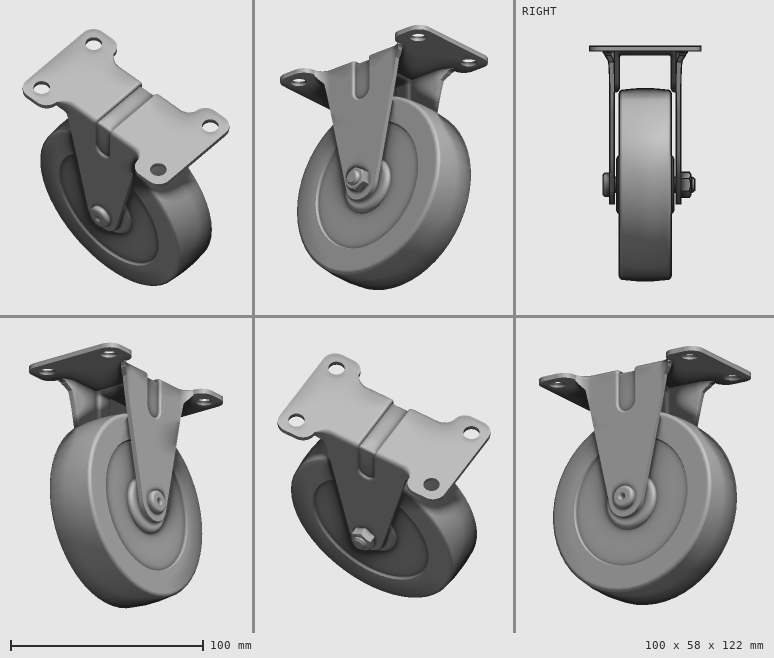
import cadquery as cq
import math



def tangent_arc_radius(along, across):
    """Radius of an arc that leaves tangent to one axis and ends offset by the given steps."""
    return (along**2 + across**2) / (2 * across)


wheel_radius = 50.0
crown_drop = 0.9
tread_half_width = 12.0
wheel_half_width = 13.5
rim_face_radius = 46.8
rim_corner_bulge = 0.5
recess_radius = 35.3
recess_depth = 1.3
recess_slope = 0.7
hub_radius = 15.4
hub_half_width = 14.9
hub_round = 2.7

overall_height = 122.0
bracket_top = overall_height - wheel_radius
sheet = 2.6
plate_length = 100.0
plate_width = 58.0
ear_inner_x = 28.8
ear_corner_radius = 7.0
ear_corner_y = plate_width / 2 - ear_corner_radius
hole_diameter = 8.5
hole_spacing_x = 82.0
hole_spacing_y = 40.0
leg_outer_y = 18.5
leg_inner_y = leg_outer_y - sheet
bend_half_length = 21.6
flare_length = ear_inner_x - bend_half_length
flare_radius = tangent_arc_radius(flare_length, ear_corner_y - leg_outer_y)
flare_axis_y = leg_outer_y + flare_radius
flare_sweep = math.asin(flare_length / flare_radius)
bend_sections = 5
bend_end_fraction = 0.98
bend_cut_margin = 0.2
leg_tip_radius = 10.0
shoulder_x = 24.5
shoulder_drop = 8.3
shoulder_knee_x = 27.7
shoulder_knee_drop = 4.9
shoulder_foot_x = 30.7

groove_half_width = 4.9
groove_drop = 18.8
groove_top_depth = 2.1
groove_leg_depth = 1.6
groove_edge_round = 1.5
groove_bend_radius = 1.2
rib_half_width = 5.1
rib_top_height = 2.1
rib_leg_height = 2.6
rib_edge_round = 2.5

axle_radius = 4.0
head_radius = 6.2
head_end_y = 22.0
head_round = 1.8
dimple_radius = 2.1
nut_across_corners = 13.0
nut_end_y = 23.7
nut_chamfer_radius = 5.4
nut_chamfer_height = 0.7
bolt_tip_y = 25.7
bolt_tip_radius = 2.9
bolt_tip_chamfer = 1.3


def cylinder_y(radius, start_y, end_y):
    """A cylinder on the axle axis."""
    return cq.Workplane("XZ", origin=(0, start_y, 0)).circle(radius).extrude(start_y - end_y)


def mirrored_four(solid):
    """The solid with its mirror images across X and Y."""
    pair = solid.union(solid.mirror("YZ"))
    return pair.union(pair.mirror("XZ"))


def make_wheel():
    edge_radius = wheel_radius - crown_drop
    rim = (
        cq.Workplane("XY")
        .moveTo(0, -wheel_half_width)
        .lineTo(rim_face_radius, -wheel_half_width)
        .sagittaArc((edge_radius, -tread_half_width), -rim_corner_bulge)
        .threePointArc((wheel_radius, 0), (edge_radius, tread_half_width))
        .sagittaArc((rim_face_radius, wheel_half_width), -rim_corner_bulge)
        .lineTo(0, wheel_half_width)
        .close()
        .revolve(360, (0, 0, 0), (0, 1, 0))
    )
    recess_floor_y = wheel_half_width - recess_depth
    recess = (
        cq.Workplane("XY")
        .moveTo(0, recess_floor_y)
        .lineTo(recess_radius - recess_slope, recess_floor_y)
        .lineTo(recess_radius, wheel_half_width)
        .lineTo(0, wheel_half_width)
        .close()
        .revolve(360, (0, 0, 0), (0, 1, 0))
    )
    hub = cylinder_y(hub_radius, -hub_half_width, hub_half_width)
    hub = hub.faces("<Y or >Y").edges().fillet(hub_round)
    bore = cylinder_y(axle_radius, -hub_half_width, hub_half_width)
    return rim.cut(recess).cut(recess.mirror("XZ")).union(hub).cut(bore)


def slot_prism(half_width, start_y, end_y):
    """A prism along Y, open at the bracket top and rounded at its lower end."""
    end_z = bracket_top - groove_drop
    return (
        cq.Workplane("XZ", origin=(0, end_y, 0))
        .moveTo(-half_width, bracket_top)
        .lineTo(-half_width, end_z)
        .threePointArc((0, end_z - half_width), (half_width, end_z))
        .lineTo(half_width, bracket_top)
        .close()
        .extrude(end_y - start_y)
    )


def box_below(half_x, half_y, top_z):
    """A block centred on the bracket, from the given height down to the leg tips."""
    height = top_z + leg_tip_radius
    return cq.Workplane("XY", origin=(0, 0, top_z - height / 2)).box(2 * half_x, 2 * half_y, height)


def rounded_bar(half_x, half_y, top_z, bend_radius):
    """The same block with its upper edges along X rounded."""
    return box_below(half_x, half_y, top_z).edges("|X and >Z").fillet(bend_radius)


def groove_floor_bar():
    """A bar whose top and sides are the floor of the groove."""
    return rounded_bar(
        bend_half_length,
        leg_outer_y - groove_leg_depth,
        bracket_top - groove_top_depth,
        groove_bend_radius,
    )


def make_channel():
    """The straight bent part: top web and both legs, with the pressed groove."""
    outside = rounded_bar(bend_half_length, leg_outer_y, bracket_top, sheet)
    groove = slot_prism(groove_half_width, -leg_outer_y, leg_outer_y).cut(groove_floor_bar())
    rim_point = (groove_half_width, 0, bracket_top)
    pressed = (
        outside.cut(groove)
        .edges(cq.selectors.NearestToPointSelector(rim_point))
        .fillet(groove_edge_round)
    )
    inside = box_below(bend_half_length, leg_inner_y, bracket_top - sheet)
    return pressed.cut(inside)


def make_rib():
    """The bulge that the groove leaves on the inside of the web and legs."""
    cavity_top = bracket_top - sheet - rib_top_height
    cavity_half_y = leg_inner_y - rib_leg_height
    rib = slot_prism(rib_half_width, -leg_outer_y, leg_outer_y).intersect(groove_floor_bar())
    rib = rib.cut(rounded_bar(rib_half_width, cavity_half_y, cavity_top, groove_bend_radius))
    rim_point = (rib_half_width, 0, cavity_top)
    return rib.edges(cq.selectors.NearestToPointSelector(rim_point)).fillet(rib_edge_round)


def make_flare():
    """The curved wall that carries the +X, +Y leg round to the ear."""
    foot_z = -leg_tip_radius
    return (
        cq.Workplane("YZ", origin=(bend_half_length, 0, 0))
        .moveTo(leg_inner_y, foot_z)
        .lineTo(leg_outer_y, foot_z)
        .lineTo(leg_outer_y, bracket_top)
        .lineTo(leg_inner_y, bracket_top)
        .close()
        .revolve(math.degrees(flare_sweep), (flare_axis_y, 0, 0), (flare_axis_y, 1, 0))
    )


def make_flare_bend_cut():
    """What the bend takes off the flare's upper edge, its radius shrinking to nothing at the ear."""
    plate_edge_radius = tangent_arc_radius(flare_length, ear_corner_y - leg_inner_y)
    centre_gap = flare_axis_y - (leg_inner_y + plate_edge_radius)
    cut = cq.Workplane("XY")
    for step in range(bend_sections):
        angle = flare_sweep * bend_end_fraction * step / (bend_sections - 1)
        across = centre_gap * math.sin(angle)
        to_plate_edge = centre_gap * math.cos(angle) + math.sqrt(plate_edge_radius**2 - across**2)
        bend = to_plate_edge - flare_radius
        diagonal = bend * (1 - math.sqrt(0.5))
        inward = cq.Vector(math.sin(angle), -math.cos(angle), 0)
        wall_point = cq.Vector(bend_half_length, flare_axis_y, bracket_top) + inward * flare_radius
        section_plane = cq.Plane(wall_point, inward, inward.cross(cq.Vector(0, 0, 1)))
        section = (
            cq.Workplane(section_plane)
            .moveTo(0, -bend)
            .threePointArc((diagonal, -diagonal), (bend, 0))
            .lineTo(bend, bend_cut_margin)
            .lineTo(-bend_cut_margin, bend_cut_margin)
            .lineTo(-bend_cut_margin, -bend)
            .close()
        )
        cut.ctx.pendingWires.extend(section.ctx.pendingWires)
    return cut.loft()


def make_plate():
    """The flat top plate beyond the straight bend on the +X side: a neck and two ears."""
    ear_length = plate_length / 2 - ear_inner_x
    ear = (
        cq.Workplane("XY", origin=(ear_inner_x + ear_length / 2, 0, bracket_top - sheet / 2))
        .box(ear_length, plate_width, sheet)
        .edges("|Z")
        .fillet(ear_corner_radius)
    )
    neck = (
        cq.Workplane("XY", origin=(0, 0, bracket_top - sheet))
        .moveTo(bend_half_length, -leg_outer_y)
        .radiusArc((ear_inner_x, -ear_corner_y), flare_radius)
        .lineTo(ear_inner_x + ear_corner_radius, -ear_corner_y)
        .lineTo(ear_inner_x + ear_corner_radius, ear_corner_y)
        .lineTo(ear_inner_x, ear_corner_y)
        .radiusArc((bend_half_length, leg_outer_y), flare_radius)
        .close()
        .extrude(sheet)
    )
    return ear.union(neck)


def make_blank():
    """A prism along Y with the bracket's front outline: plate, shoulders and tapering legs."""
    shoulder_z = bracket_top - shoulder_drop
    knee_z = bracket_top - shoulder_knee_drop
    underside = bracket_top - sheet
    tangent_angle = math.atan2(shoulder_z, shoulder_x) - math.acos(
        leg_tip_radius / math.hypot(shoulder_x, shoulder_z)
    )
    tip_x = leg_tip_radius * math.cos(tangent_angle)
    tip_z = leg_tip_radius * math.sin(tangent_angle)
    half_length = plate_length / 2
    knee_arc = tangent_arc_radius(shoulder_foot_x - shoulder_knee_x, underside - knee_z)
    return (
        cq.Workplane("XZ", origin=(0, plate_width / 2, 0))
        .moveTo(-half_length, bracket_top)
        .lineTo(half_length, bracket_top)
        .lineTo(half_length, underside)
        .lineTo(shoulder_foot_x, underside)
        .radiusArc((shoulder_knee_x, knee_z), -knee_arc)
        .lineTo(shoulder_x, shoulder_z)
        .lineTo(tip_x, tip_z)
        .threePointArc((0, -leg_tip_radius), (-tip_x, tip_z))
        .lineTo(-shoulder_x, shoulder_z)
        .lineTo(-shoulder_knee_x, knee_z)
        .radiusArc((-shoulder_foot_x, underside), -knee_arc)
        .lineTo(-half_length, underside)
        .close()
        .extrude(plate_width)
    )


def make_bracket():
    ends = mirrored_four(make_flare().union(make_plate())).cut(mirrored_four(make_flare_bend_cut()))
    mounting_holes = (
        cq.Workplane("XY", origin=(0, 0, bracket_top - sheet))
        .rarray(hole_spacing_x, hole_spacing_y, 2, 2)
        .circle(hole_diameter / 2)
        .extrude(sheet)
    )
    return (
        make_channel()
        .union(ends)
        .intersect(make_blank())
        .union(make_rib())
        .cut(mounting_holes)
        .cut(cylinder_y(axle_radius, -leg_outer_y, leg_outer_y))
    )


def make_nut():
    """A hexagon with corners up and down, its outer end chamfered."""
    blank = (
        cq.Workplane("XZ", origin=(0, leg_outer_y, 0))
        .transformed(rotate=(0, 0, 90))
        .polygon(6, nut_across_corners)
        .extrude(leg_outer_y - nut_end_y)
    )
    chamfer_run = nut_across_corners / 2 - nut_chamfer_radius
    turned = (
        cylinder_y(nut_across_corners / 2, leg_outer_y, nut_end_y)
        .faces(">Y")
        .chamfer(nut_chamfer_height, chamfer_run)
    )
    return blank.intersect(turned)


def make_axle():
    head = cylinder_y(head_radius, -head_end_y, -leg_outer_y).faces("<Y").edges().fillet(head_round)
    shank = cylinder_y(axle_radius, -leg_outer_y, bolt_tip_y)
    shank = shank.faces(">Y").chamfer(bolt_tip_chamfer, axle_radius - bolt_tip_radius)
    dimple = cq.Workplane(
        cq.Solid.makeCone(dimple_radius, 0, dimple_radius, cq.Vector(0, -head_end_y, 0), cq.Vector(0, 1, 0))
    )
    return shank.union(head).cut(dimple).union(make_nut())


wheel = make_wheel()
bracket = make_bracket()
axle = make_axle()
result = cq.Compound.makeCompound([bracket.val(), wheel.val(), axle.val()])